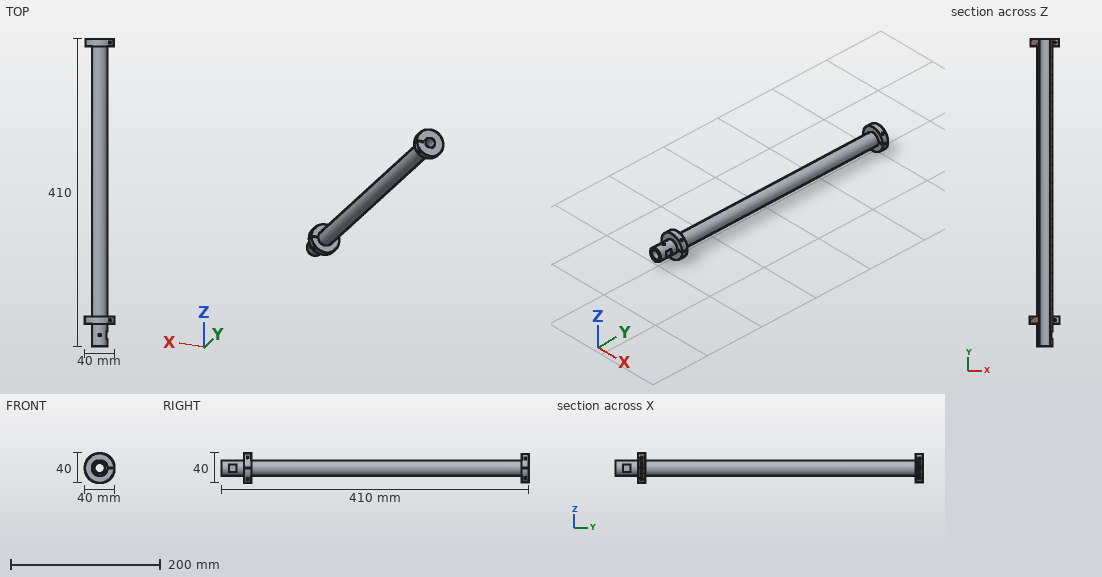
import cadquery as cq

LENGTH = 410.0
TUBE_DIAMETER = 21.0
BORE_DIAMETER = 14.0
FRONT_Y = -LENGTH / 2
REAR_Y = LENGTH / 2

COLLAR_THICKNESS = 10.0
FRONT_COLLAR_DIAMETER = 40.0
REAR_COLLAR_DIAMETER = 38.0
SPIGOT_LENGTH = 30.0
FRONT_COLLAR_Y = FRONT_Y + SPIGOT_LENGTH
REAR_COLLAR_Y = REAR_Y - COLLAR_THICKNESS

SLIT_WIDTH = 1.0
SCREW_HOLE_DIAMETER = 2.0
SCREW_HOLE_X = 13.5

SPIGOT_MIDDLE_Y = FRONT_Y + SPIGOT_LENGTH / 2
FLAT_LENGTH = 10.0
FLAT_DEPTH = 1.2
PIN_HOLE_DIAMETER = 3.0


def cylinder_along_y(diameter, start_y, length):
    """Solid cylinder on the Y axis, growing toward +Y from start_y."""
    axis_plane = cq.Plane(origin=(0, start_y, 0), xDir=(0, 0, 1), normal=(0, 1, 0))
    return cq.Workplane(axis_plane).circle(diameter / 2).extrude(length)


def clamp_collar(diameter, start_y):
    """Collar with a radial slit on +X and a clamp screw hole across the slit."""
    radius = diameter / 2
    middle_y = start_y + COLLAR_THICKNESS / 2
    collar = cylinder_along_y(diameter, start_y, COLLAR_THICKNESS)
    slit = (
        cq.Workplane("XY")
        .box(radius, COLLAR_THICKNESS, SLIT_WIDTH)
        .translate((radius / 2, middle_y, 0))
    )
    screw_hole = (
        cq.Workplane("XY", origin=(SCREW_HOLE_X, middle_y, 0))
        .circle(SCREW_HOLE_DIAMETER / 2)
        .extrude(radius, both=True)
    )
    return collar.cut(slit).cut(screw_hole)


def spigot_flat():
    """Cutter for the flat milled across the +X side of the spigot."""
    flat_x = TUBE_DIAMETER / 2 - FLAT_DEPTH
    return (
        cq.Workplane("YZ", origin=(flat_x, SPIGOT_MIDDLE_Y, 0))
        .rect(FLAT_LENGTH, TUBE_DIAMETER)
        .extrude(TUBE_DIAMETER)
    )


def pin_hole():
    """Cutter from the tube axis up through the +Z wall of the spigot."""
    return (
        cq.Workplane("XY", origin=(0, SPIGOT_MIDDLE_Y, 0))
        .circle(PIN_HOLE_DIAMETER / 2)
        .extrude(TUBE_DIAMETER)
    )


front_collar = clamp_collar(FRONT_COLLAR_DIAMETER, FRONT_COLLAR_Y)
rear_collar = clamp_collar(REAR_COLLAR_DIAMETER, REAR_COLLAR_Y)
tube = cylinder_along_y(TUBE_DIAMETER, FRONT_Y, LENGTH)
bore = cylinder_along_y(BORE_DIAMETER, FRONT_Y, LENGTH)

result = (
    tube.union(front_collar)
    .union(rear_collar)
    .cut(bore)
    .cut(spigot_flat())
    .cut(pin_hole())
)